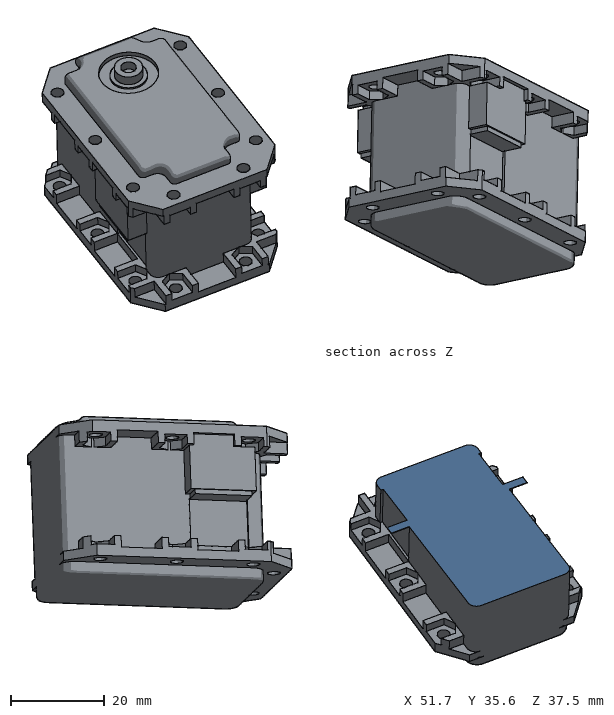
import cadquery as cq
import math

tilt_angle = 2.1

body_length = 45.0
body_width = 24.4
body_corner_radius = 2.05
base_depth = 2.9
base_corner_radius = 3.0
base_edge_radius = 1.0

flange_length = 50.6
flange_width = 35.6
flange_span = 29.95
plate_thickness = 2.0
corner_cut_x = 6.0
corner_cut_y = 5.15

hole_diameter = 2.75
hole_inset = 2.9
hole_pitch = 16.95
first_hole_x = 7.5
pad_width = 7.9
pad_height = 2.5
nut_width = 4.95
nut_floor_rise = 0.5

lid_height = 2.6
lid_start = 5.0
lid_end = 39.95
lid_tab_width = 14.45
lid_inner_radius = 2.05
lid_corner_radius = 1.1
lid_edge_radius = 1.45
lid_nose_radius = 5.7
lid_nose_end = 4.85

shaft_x = 12.0
shaft_radius = 3.05
shaft_bore_radius = 1.65
shaft_bore_depth = 2.05
shaft_rise = 1.6
collar_radius = 4.05
collar_height = 0.4
recess_radius = 6.4
recess_depth = 1.05

cover_start = 27.65
cover_length = 14.45
cover_bottom = 15.8
cover_reach = 16.8
lip_start = 28.65
lip_length = 12.55
lip_height = 1.05
lip_reach = 16.5
side_recess_start = 28.5
side_recess_length = 12.85
side_recess_depth = 0.55

pad_depth = plate_thickness + pad_height
lid_top = flange_span + lid_height
side_hole_y = flange_width / 2 - hole_inset
end_hole_x = flange_length - hole_inset

side_stations = [
    (first_hole_x + i * hole_pitch, side * side_hole_y, side * 90)
    for i in range(3)
    for side in (-1, 1)
]
end_stations = [(end_hole_x, side * hole_pitch / 2, 0) for side in (-1, 1)]
stations = side_stations + end_stations


def block(x_start, length, y_start, width, z_start, height):
    """Box placed by its lowest corner."""
    corner = (x_start, y_start, z_start)
    return cq.Workplane("XY").box(length, width, height, centered=False).translate(corner)


def body_prism(z_start, height):
    """Prism with the rectangular outline of the body."""
    return block(0, body_length, -body_width / 2, body_width, z_start, height)


def flange_prism(height):
    """Rectangle with four cut corners, standing on Z = 0."""
    half_width = flange_width / 2
    shoulder = half_width - corner_cut_y
    outline = [
        (corner_cut_x, -half_width),
        (flange_length - corner_cut_x, -half_width),
        (flange_length, -shoulder),
        (flange_length, shoulder),
        (flange_length - corner_cut_x, half_width),
        (corner_cut_x, half_width),
        (0, shoulder),
        (0, -shoulder),
    ]
    return cq.Workplane("XY").polyline(outline).close().extrude(height)


def at_station(shape, station):
    """Turn a shape built outwards along +X and move it to a hole centre."""
    x, y, direction = station
    return shape.rotate((0, 0, 0), (0, 0, 1), direction).translate((x, y, 0))


def nut_pocket():
    """Hexagon with a point facing inwards, open towards the flange edge."""
    floor = plate_thickness + nut_floor_rise
    depth = pad_depth - floor
    hexagon = cq.Workplane("XY", origin=(0, 0, floor)).polygon(6, nut_width / math.cos(math.pi / 6))
    mouth = block(0, 2 * hole_inset, -nut_width / 2, nut_width, floor, depth)
    return hexagon.extrude(depth).union(mouth)


def lower_flange():
    """Plate with raised pads that run into the body, closing the gap at its rounded corners."""
    inner_reach = side_hole_y - body_width / 2 + body_corner_radius
    strip_length = inner_reach + 2 * hole_inset
    pad = block(-inner_reach, strip_length, -pad_width / 2, pad_width, 0, pad_depth)
    pads = at_station(pad, stations[0])
    for station in stations[1:]:
        pads = pads.union(at_station(pad, station))
    return flange_prism(plate_thickness).union(pads.intersect(flange_prism(pad_depth)))


def fastener_cuts():
    """Nut pockets and through holes of the lower flange."""
    hole = cq.Workplane("XY").circle(hole_diameter / 2).extrude(pad_depth)
    cutter = nut_pocket().union(hole)
    cuts = at_station(cutter, stations[0])
    for station in stations[1:]:
        cuts = cuts.union(at_station(cutter, station))
    return cuts


def to_upper_flange(shape):
    """Mirror lower flange geometry to the upper flange."""
    return shape.mirror("XY").translate((0, 0, flange_span))


def body():
    """Block between the flanges and the rounded base under it."""
    core = body_prism(0, flange_span).edges("|Z").fillet(body_corner_radius)
    base = body_prism(-base_depth, base_depth + plate_thickness).edges("|Z").fillet(base_corner_radius)
    return core.union(base.faces("<Z").edges().fillet(base_edge_radius))


def lid():
    """Raised cap with notched corners, a rolled nose at the rear and rounded edges."""
    nose_tip = lid_nose_end - lid_nose_radius
    bottom = lid_top - lid_nose_radius - lid_edge_radius
    height = lid_top - bottom
    tab = block(
        nose_tip, body_length - nose_tip, -lid_tab_width / 2, lid_tab_width, bottom, height
    ).edges("|Z and >X").fillet(lid_corner_radius)
    main = block(
        lid_start, lid_end - lid_start, -body_width / 2, body_width, bottom, height
    ).edges("|Z").fillet(lid_corner_radius)
    cap = main.union(tab)
    inner_corners = [
        (x, side * lid_tab_width / 2, bottom + height / 2)
        for x in (lid_start, lid_end)
        for side in (-1, 1)
    ]
    for corner in inner_corners:
        cap = cap.edges(cq.selectors.NearestToPointSelector(corner)).fillet(lid_inner_radius)

    arc_middle = lid_nose_radius * math.sqrt(0.5)
    nose_center_z = lid_top - lid_nose_radius
    profile = (
        cq.Workplane("XZ", origin=(0, body_width, 0))
        .moveTo(nose_tip, bottom)
        .lineTo(nose_tip, nose_center_z)
        .threePointArc((lid_nose_end - arc_middle, nose_center_z + arc_middle), (lid_nose_end, lid_top))
        .lineTo(flange_length, lid_top)
        .lineTo(flange_length, bottom)
        .close()
        .extrude(2 * body_width)
    )
    cap = cap.intersect(profile)
    cap = cap.faces(">Z").edges("not(|Y and <X)").fillet(lid_edge_radius)
    return cap.intersect(block(0, flange_length, -body_width, 2 * body_width, bottom, 2 * height))


def covers():
    """Connector cover with its lip on both sides."""
    cover_height = flange_span - plate_thickness - cover_bottom
    cover = block(cover_start, cover_length, -cover_reach, 2 * cover_reach, cover_bottom, cover_height)
    lip = block(
        lip_start, lip_length, -lip_reach, 2 * lip_reach, cover_bottom - lip_height, lip_height
    )
    return cover.union(lip)


def side_recesses():
    """Shallow recesses in both side walls, from the lower pads up to the lips."""
    height = cover_bottom - lip_height - pad_depth
    face_y = body_width / 2
    near = block(side_recess_start, side_recess_length, -face_y, side_recess_depth, pad_depth, height)
    return near.union(near.mirror("XZ"))


def cylinder(radius, z_start, z_end):
    """Cylinder on the output shaft axis."""
    return cq.Workplane("XY", origin=(shaft_x, 0, z_start)).circle(radius).extrude(z_end - z_start)


def add_output_shaft(part):
    """Round recess holding a collar and a bored shaft."""
    floor = lid_top - recess_depth
    shaft_top = lid_top + shaft_rise
    part = part.cut(cylinder(recess_radius, floor, lid_top))
    part = part.union(cylinder(collar_radius, floor, floor + collar_height))
    part = part.union(cylinder(shaft_radius, floor, shaft_top))
    return part.cut(cylinder(shaft_bore_radius, shaft_top - shaft_bore_depth, shaft_top))


flange = lower_flange()
flange_cuts = fastener_cuts()
housing = flange.union(to_upper_flange(flange)).union(covers()).union(body())
housing = housing.cut(flange_cuts).cut(to_upper_flange(flange_cuts)).cut(side_recesses())
level_part = add_output_shaft(housing.union(lid()))
result = level_part.rotate((0, 0, 0), (0, 1, 0), -tilt_angle)